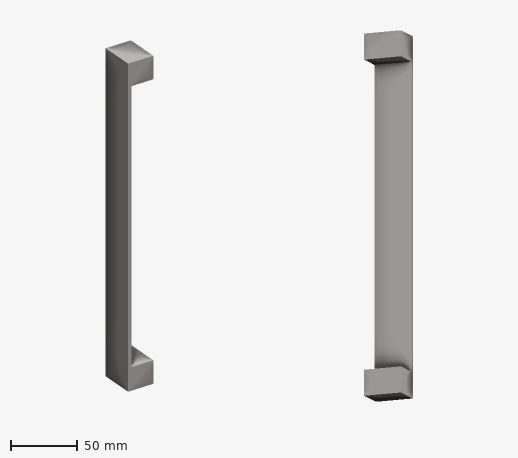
import cadquery as cq

width = 30.0
depth = 23.0
height = 279.0

foot_height = 20.0
grip_thickness = 3.0
spacer_depth = 10.0

handle_depth = depth - spacer_depth


def make_handle():
    """Flat bar along Z with a rearward foot at each end; front face at Y = 0."""
    blank = cq.Workplane("XY").box(width, handle_depth, height, centered=(True, False, True))
    gap = (
        cq.Workplane("XY")
        .box(width, handle_depth - grip_thickness, height - 2 * foot_height, centered=(True, False, True))
        .translate((0, grip_thickness, 0))
    )
    return blank.cut(gap)


def make_spacer(end):
    """Block behind one foot; end is +1 for the top and -1 for the bottom."""
    return (
        cq.Workplane("XY")
        .box(width, spacer_depth, foot_height, centered=(True, False, True))
        .translate((0, handle_depth, end * (height - foot_height) / 2))
    )


handle = make_handle()
spacers = [make_spacer(end) for end in (-1, 1)]

result = cq.Compound.makeCompound([handle.val(), *[spacer.val() for spacer in spacers]])